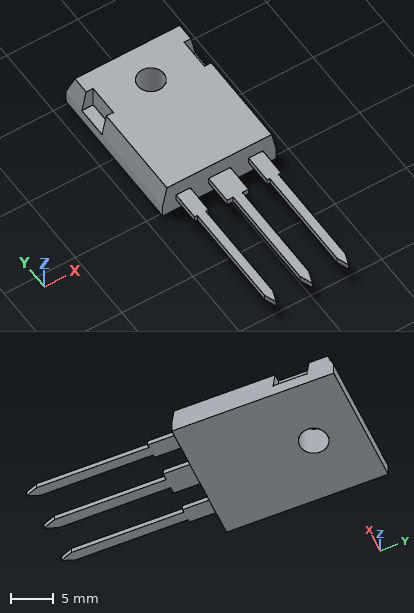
import cadquery as cq

total_length = 40.8
body_length = 20.8
body_width = 16.0
body_height = 4.9

base_height = 1.85
side_inset = 0.6
back_inset = 1.0
upper_height = body_height - base_height

hole_diameter = 3.6
hole_from_back = 6.08
notch_from_back = 3.45
notch_length = 4.32
notch_depth = 1.6

lead_pitch = 5.1
lead_thickness = 0.85
lead_length = total_length - body_length
shoulder_length = 3.95
side_shoulder_width = 2.0
side_shank_width = 1.22
side_tip_length = 1.65
middle_shoulder_width = 3.05
middle_shank_width = 1.3
middle_tip_length = 1.7


def make_body():
    """Block with its lead face upright and its sides and back leaning in above the base."""
    base = cq.Workplane("XY").box(body_width, body_length, base_height, centered=(True, False, False))
    top_length = body_length - back_inset
    upper = (
        cq.Workplane("XY", origin=(0, 0, base_height))
        .center(0, body_length / 2)
        .rect(body_width, body_length)
        .workplane(offset=upper_height)
        .center(0, (top_length - body_length) / 2)
        .rect(body_width - 2 * side_inset, top_length)
        .loft(ruled=True)
    )
    return base.union(upper)


def make_notch(side):
    """Block cut from the upper part of one side, down to the base."""
    notch_center_y = body_length - notch_from_back - notch_length / 2
    return (
        cq.Workplane("XY", origin=(side * body_width / 2, notch_center_y, base_height))
        .rect(2 * notch_depth, notch_length)
        .extrude(upper_height)
    )


def make_hole():
    """Mounting hole through the full body height."""
    return (
        cq.Workplane("XY", origin=(0, body_length - hole_from_back, 0))
        .circle(hole_diameter / 2)
        .extrude(body_height)
    )


def make_lead(center_x, shoulder_width, shank_width, tip_length):
    """Flat lead with a wide shoulder at the body and a pointed tip."""
    half_shoulder = shoulder_width / 2
    half_shank = shank_width / 2
    tip_start = -(lead_length - tip_length)
    return (
        cq.Workplane("XY", origin=(center_x, 0, base_height))
        .moveTo(-half_shoulder, 0)
        .lineTo(-half_shoulder, -shoulder_length)
        .lineTo(-half_shank, -shoulder_length)
        .lineTo(-half_shank, tip_start)
        .lineTo(0, -lead_length)
        .lineTo(half_shank, tip_start)
        .lineTo(half_shank, -shoulder_length)
        .lineTo(half_shoulder, -shoulder_length)
        .lineTo(half_shoulder, 0)
        .close()
        .extrude(lead_thickness)
    )


result = make_body().cut(make_hole())
for side in (-1, 1):
    result = result.cut(make_notch(side))
    result = result.union(
        make_lead(side * lead_pitch, side_shoulder_width, side_shank_width, side_tip_length)
    )
result = result.union(make_lead(0, middle_shoulder_width, middle_shank_width, middle_tip_length))